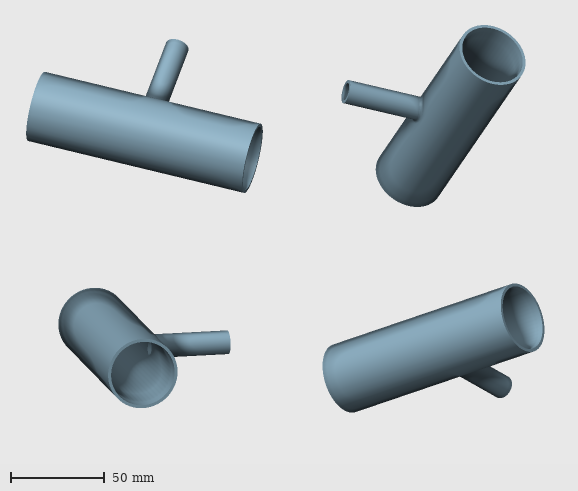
import cadquery as cq

wall = 1.65
run_length = 120.65
run_diameter = 38.1
branch_diameter = 12.7
branch_reach = run_length / 2
junction_fillet = 1.6

run_bore = run_diameter - 2 * wall
branch_bore = branch_diameter - 2 * wall


def run_cylinder(diameter):
    """Cylinder along X, centred on the origin."""
    return cq.Workplane("YZ").circle(diameter / 2).extrude(run_length / 2, both=True)


def branch_cylinder(diameter):
    """Cylinder along +Y, from the run axis to the branch end."""
    return cq.Workplane("XZ").circle(diameter / 2).extrude(-branch_reach)


outer = run_cylinder(run_diameter).union(branch_cylinder(branch_diameter))
junction_half = branch_diameter / 2 + junction_fillet
junction_box = cq.selectors.BoxSelector(
    (-junction_half, 0, -junction_half),
    (junction_half, run_diameter / 2 + junction_fillet, junction_half),
)
outer = outer.edges(junction_box).fillet(junction_fillet)

result = outer.cut(run_cylinder(run_bore)).cut(branch_cylinder(branch_bore))